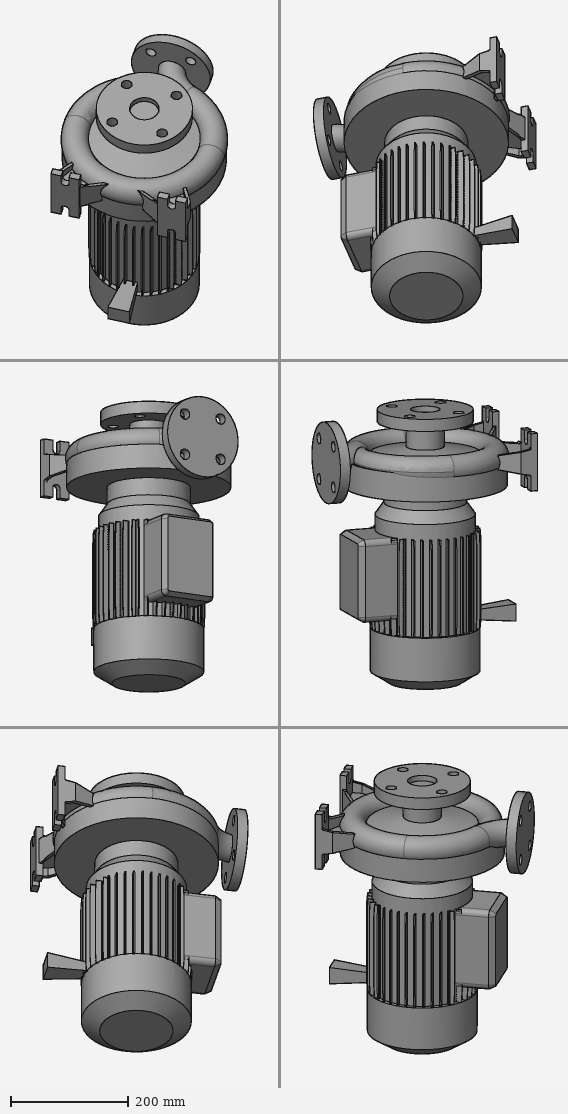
import cadquery as cq
import math


VOLUTE_OUTER_RADIUS = 142.0
TUBE_RADIUS = 23.5
RING_RADIUS = VOLUTE_OUTER_RADIUS - TUBE_RADIUS
RING_INNER_RADIUS = RING_RADIUS - TUBE_RADIUS
TAPER_START_ANGLE = 180.0
TAPER_END_ANGLE = 60.0
TAPER_END_TUBE_RADIUS = 16.4
TAPER_SECTIONS = 7

OUTLET_FACE_Y = 180.0
OUTLET_FLANGE_RADIUS = 70.0
OUTLET_FLANGE_THICKNESS = 18.0
OUTLET_BOLT_CIRCLE = 100.0

SUCTION_FACE_Z = 80.0
SUCTION_FLANGE_RADIUS = 82.0
SUCTION_FLANGE_THICKNESS = 21.0
SUCTION_BOLT_CIRCLE = 125.0
SUCTION_NECK_RADIUS = 32.5
SUCTION_BORE = 50.0
SUCTION_BORE_DEPTH = 10.0

BOLT_HOLE = 18.0
BOLT_ANGLES = (45, 135, 225, 315)

DRUM_RADIUS = 140.0
DRUM_TOP_Z = -2.5
DRUM_BOTTOM_Z = -51.5
COVER_TOP_Z = 15.5
COVER_RADIUS = 110.0
COVER_EDGE_Z = 0.3

COLLAR_RADIUS = 71.0
COLLAR_BOTTOM_Z = -81.5
BODY_RADIUS = 85.7
BODY_SHOULDER_Z = -102.5
FIN_TOP_Z = -129.5
FIN_BOTTOM_Z = -299.0
FAN_COVER_RADIUS = 93.8
FAN_COVER_CONE_Z = -375.0
MOTOR_BOTTOM_RADIUS = 62.5
OVERALL_HEIGHT = 475.0
MOTOR_BOTTOM_Z = SUCTION_FACE_Z - OVERALL_HEIGHT

FIN_TIP_RADIUS = 95.0
FIN_END_RADIUS = FAN_COVER_RADIUS
FIN_END_TAPER = 20.0
FIN_THICKNESS = 2.0
CORNER_FIN_TIP = 70.5
CORNER_FIN_MIN_ANGLE = 40.0
FIN_PITCH_ANGLE = 9.0
FINS_PER_SIDE = 10

BOX_FACE_Y = 138.5
BOX_WIDTH = 102.0
BOX_TOP_Z = FIN_TOP_Z
BOX_BOTTOM_Z = -273.5
BOX_CORNER_RADIUS = 10.0
BOX_BEVEL_DEPTH = 11.0
BOX_BEVEL_ANGLE = 30.0

STUB_FACE_Y = -158.0
STUB_ROOT_Y = -80.0
STUB_WIDTH = 38.0
STUB_HEIGHT = 30.0
STUB_CENTER_Z = -282.5
STUB_TAPER = 5.0

FOOT_FACE_Y = -160.0
FOOT_THICKNESS = 12.0
FOOT_BACK_Y = FOOT_FACE_Y + FOOT_THICKNESS
FOOT_CENTER_X = 94.5
FOOT_WIDTH = 50.0
FOOT_HEIGHT = 100.0
FOOT_INNER_X = FOOT_CENTER_X - FOOT_WIDTH / 2
FOOT_OUTER_X = FOOT_CENTER_X + FOOT_WIDTH / 2
SLOT_WIDTH = 14.0
SLOT_DEPTH = 23.0
WEB_THICKNESS = 6.0
WEB_ROOT_HALF_HEIGHT = 22.5
WEB_SLOPE = 0.19
WEB_FILLET = 3.0
WEB_END_Y = -85.0
OUTER_WEB_BEND_Y = -129.5
OUTER_WEB_LEAN = 26.5
INNER_WEB_ANGLE = 30.0
INNER_WEB_LENGTH = 55.0
FLOOR_THICKNESS = 6.0


def at_angle(radius, degrees):
    """Point in plan at a radius and angle about the shaft axis."""
    angle = math.radians(degrees)
    return radius * math.cos(angle), radius * math.sin(angle)


def make_motor_and_casing():
    """Turned body: drum, conical cover, collar, motor and fan cover."""
    profile = [
        (0, COVER_TOP_Z),
        (SUCTION_NECK_RADIUS, COVER_TOP_Z),
        (COVER_RADIUS, COVER_EDGE_Z),
        (COVER_RADIUS, DRUM_TOP_Z),
        (DRUM_RADIUS, DRUM_TOP_Z),
        (DRUM_RADIUS, DRUM_BOTTOM_Z),
        (COLLAR_RADIUS, DRUM_BOTTOM_Z),
        (COLLAR_RADIUS, COLLAR_BOTTOM_Z),
        (BODY_RADIUS, BODY_SHOULDER_Z),
        (BODY_RADIUS, FIN_BOTTOM_Z),
        (FAN_COVER_RADIUS, FIN_BOTTOM_Z),
        (FAN_COVER_RADIUS, FAN_COVER_CONE_Z),
        (MOTOR_BOTTOM_RADIUS, MOTOR_BOTTOM_Z),
        (0, MOTOR_BOTTOM_Z),
    ]
    return cq.Workplane("XZ").polyline(profile).close().revolve(360, (0, 0, 0), (0, 1, 0))


def make_fin(angle):
    """One fin parallel to X, with its tip at the given angle and slightly tapered at both ends."""
    root_x = BODY_RADIUS * math.cos(math.radians(45)) - FIN_THICKNESS
    tip_x, offset_y = at_angle(FIN_TIP_RADIUS, angle)
    if abs(angle) > CORNER_FIN_MIN_ANGLE:
        tip_x = CORNER_FIN_TIP
    end_x = tip_x - (FIN_TIP_RADIUS - FIN_END_RADIUS)
    outline = [
        (root_x, FIN_TOP_Z),
        (end_x, FIN_TOP_Z),
        (tip_x, FIN_TOP_Z - FIN_END_TAPER),
        (tip_x, FIN_BOTTOM_Z + FIN_END_TAPER),
        (end_x, FIN_BOTTOM_Z),
        (root_x, FIN_BOTTOM_Z),
    ]
    side = cq.Workplane("XZ", origin=(0, offset_y, 0)).polyline(outline).close()
    return side.extrude(FIN_THICKNESS / 2, both=True)


def make_fins():
    """Straight fins, all parallel to X or Y within each quarter of the motor."""
    fins = cq.Workplane("XY")
    for index in range(FINS_PER_SIDE):
        fin = make_fin((index - (FINS_PER_SIDE - 1) / 2) * FIN_PITCH_ANGLE)
        for turn in (0, 90, 180, 270):
            fins.add(fin.rotate((0, 0, 0), (0, 0, 1), turn).val())
    return fins.combine()


def make_volute():
    """Tube ring that sweeps from -X round to the outlet and bends back to point along +Y."""
    bend_radius = (OUTLET_FACE_Y**2 - RING_RADIUS**2) / (2 * RING_RADIUS)
    leave_angle = math.degrees(math.atan2(OUTLET_FACE_Y, bend_radius))
    bend_middle_angle = math.radians(180 + leave_angle / 2)
    bend_middle = (
        bend_radius + bend_radius * math.cos(bend_middle_angle),
        OUTLET_FACE_Y + bend_radius * math.sin(bend_middle_angle),
    )
    path = (
        cq.Workplane("XY")
        .moveTo(-RING_RADIUS, 0)
        .threePointArc((0, -RING_RADIUS), (RING_RADIUS, 0))
        .threePointArc(at_angle(RING_RADIUS, leave_angle / 2), at_angle(RING_RADIUS, leave_angle))
        .threePointArc(bend_middle, (0, OUTLET_FACE_Y))
    )
    return cq.Workplane("XZ", origin=(-RING_RADIUS, 0, 0)).circle(TUBE_RADIUS).sweep(path)


def make_volute_taper():
    """Narrowing start of the volute, from under the outlet bend round to -X.

    The tube radius shrinks with the square of the angle, while the inner side keeps its radius.
    """
    sections = []
    for index in range(TAPER_SECTIONS):
        share = index / (TAPER_SECTIONS - 1)
        angle = TAPER_START_ANGLE + share * (TAPER_END_ANGLE - TAPER_START_ANGLE)
        radius = TUBE_RADIUS + share**2 * (TAPER_END_TUBE_RADIUS - TUBE_RADIUS)
        x, y = at_angle(RING_INNER_RADIUS + radius, angle)
        direction = cq.Vector(*at_angle(1, angle - 90))
        sections.append(cq.Wire.makeCircle(radius, cq.Vector(x, y, 0), direction))
    return cq.Workplane(cq.Solid.makeLoft(sections))


def bolt_points(bolt_circle):
    return [at_angle(bolt_circle / 2, angle) for angle in BOLT_ANGLES]


def make_outlet_flange():
    face = cq.Workplane("XZ", origin=(0, OUTLET_FACE_Y, 0))
    flange = face.circle(OUTLET_FLANGE_RADIUS).extrude(OUTLET_FLANGE_THICKNESS)
    holes = face.pushPoints(bolt_points(OUTLET_BOLT_CIRCLE)).circle(BOLT_HOLE / 2)
    return flange.cut(holes.extrude(OUTLET_FLANGE_THICKNESS))


def make_suction_flange():
    face = cq.Workplane("XY", origin=(0, 0, SUCTION_FACE_Z))
    flange = face.circle(SUCTION_FLANGE_RADIUS).extrude(-SUCTION_FLANGE_THICKNESS)
    holes = face.pushPoints(bolt_points(SUCTION_BOLT_CIRCLE)).circle(BOLT_HOLE / 2)
    flange = flange.cut(holes.extrude(-SUCTION_FLANGE_THICKNESS))
    neck = face.circle(SUCTION_NECK_RADIUS).extrude(DRUM_BOTTOM_Z - SUCTION_FACE_Z)
    bore = face.circle(SUCTION_BORE / 2).extrude(-SUCTION_BORE_DEPTH)
    return flange.union(neck).cut(bore)


def make_terminal_box():
    height = BOX_TOP_Z - BOX_BOTTOM_Z
    box = (
        cq.Workplane("XZ", origin=(0, BOX_FACE_Y, (BOX_TOP_Z + BOX_BOTTOM_Z) / 2))
        .rect(BOX_WIDTH, height)
        .extrude(BOX_FACE_Y)
        .edges("|Y")
        .fillet(BOX_CORNER_RADIUS)
    )
    inset = BOX_BEVEL_DEPTH * math.tan(math.radians(BOX_BEVEL_ANGLE))
    return box.faces(">Y").chamfer(BOX_BEVEL_DEPTH, inset)


def make_stub():
    return (
        cq.Workplane("XZ", origin=(0, STUB_FACE_Y, STUB_CENTER_Z))
        .rect(STUB_WIDTH, STUB_HEIGHT)
        .extrude(-(STUB_ROOT_Y - STUB_FACE_Y), taper=STUB_TAPER)
    )


def make_foot_plate():
    plate = cq.Workplane("XY").box(FOOT_WIDTH, FOOT_THICKNESS, FOOT_HEIGHT)
    straight_depth = SLOT_DEPTH - SLOT_WIDTH / 2
    for end in (-1, 1):
        slot = (
            cq.Workplane("XZ", origin=(0, FOOT_THICKNESS / 2, 0))
            .moveTo(-SLOT_WIDTH / 2, end * FOOT_HEIGHT / 2)
            .vLine(-end * straight_depth)
            .threePointArc(
                (0, end * (FOOT_HEIGHT / 2 - SLOT_DEPTH)),
                (SLOT_WIDTH / 2, end * (FOOT_HEIGHT / 2 - straight_depth)),
            )
            .vLine(end * straight_depth)
            .close()
            .extrude(FOOT_THICKNESS)
        )
        plate = plate.cut(slot)
    return plate.translate((FOOT_CENTER_X, FOOT_FACE_Y + FOOT_THICKNESS / 2, 0))


def prism(outline, height):
    """Upright prism centred on the outlet level."""
    return cq.Workplane("XY").polyline(outline).close().extrude(height / 2, both=True)


def web_side_envelope():
    """Side outline of the webs: tallest at the plate, with a small fillet against it."""
    end_half_height = WEB_ROOT_HALF_HEIGHT - WEB_SLOPE * (WEB_END_Y - FOOT_BACK_Y)
    root_y = FOOT_BACK_Y + WEB_FILLET
    root_z = WEB_ROOT_HALF_HEIGHT - WEB_SLOPE * WEB_FILLET
    top_z = root_z + WEB_FILLET
    bow = WEB_FILLET * (1 - math.sqrt(0.5))
    outline = (
        cq.Workplane("YZ")
        .moveTo(FOOT_FACE_Y, top_z)
        .lineTo(FOOT_BACK_Y, top_z)
        .threePointArc((FOOT_BACK_Y + bow, root_z + bow), (root_y, root_z))
        .lineTo(WEB_END_Y, end_half_height)
        .lineTo(WEB_END_Y, -end_half_height)
        .lineTo(root_y, -root_z)
        .threePointArc((FOOT_BACK_Y + bow, -root_z - bow), (FOOT_BACK_Y, -top_z))
        .lineTo(FOOT_FACE_Y, -top_z)
        .close()
    )
    return outline.extrude(FOOT_OUTER_X)


def make_foot():
    """Foot on the +X side: slotted plate, two upright webs and a level floor between them."""
    lean = math.radians(OUTER_WEB_LEAN)
    end_x = FOOT_OUTER_X - (WEB_END_Y - OUTER_WEB_BEND_Y) * math.tan(lean)
    outer_web = [
        (FOOT_OUTER_X, FOOT_FACE_Y),
        (FOOT_OUTER_X, OUTER_WEB_BEND_Y),
        (end_x, WEB_END_Y),
        (end_x - WEB_THICKNESS / math.cos(lean), WEB_END_Y),
        (FOOT_OUTER_X - WEB_THICKNESS, OUTER_WEB_BEND_Y - WEB_THICKNESS * math.tan(lean / 2)),
        (FOOT_OUTER_X - WEB_THICKNESS, FOOT_FACE_Y),
    ]
    slant = math.radians(INNER_WEB_ANGLE)
    inner_end_x = FOOT_INNER_X - INNER_WEB_LENGTH * math.cos(slant)
    inner_end_y = FOOT_BACK_Y + INNER_WEB_LENGTH * math.sin(slant)
    inner_width_y = WEB_THICKNESS / math.cos(slant)
    inner_web = [
        (FOOT_INNER_X, FOOT_BACK_Y),
        (inner_end_x, inner_end_y),
        (inner_end_x, inner_end_y - inner_width_y),
        (FOOT_INNER_X, FOOT_BACK_Y - inner_width_y),
    ]
    floor_edge_x = FOOT_OUTER_X - WEB_THICKNESS / 2
    floor = [
        (FOOT_INNER_X, FOOT_BACK_Y),
        (floor_edge_x, FOOT_BACK_Y),
        (floor_edge_x, OUTER_WEB_BEND_Y),
        (end_x - WEB_THICKNESS / 2, WEB_END_Y),
        (inner_end_x, inner_end_y),
    ]
    webs = prism(outer_web, FOOT_HEIGHT).union(prism(inner_web, FOOT_HEIGHT))
    webs = webs.intersect(web_side_envelope())
    return make_foot_plate().union(webs).union(prism(floor, FLOOR_THICKNESS))


foot = make_foot()
result = (
    make_motor_and_casing()
    .union(make_volute_taper())
    .union(make_volute())
    .union(make_outlet_flange())
    .union(make_suction_flange())
    .union(make_fins())
    .union(make_terminal_box())
    .union(make_stub())
    .union(foot)
    .union(foot.mirror("YZ"))
)